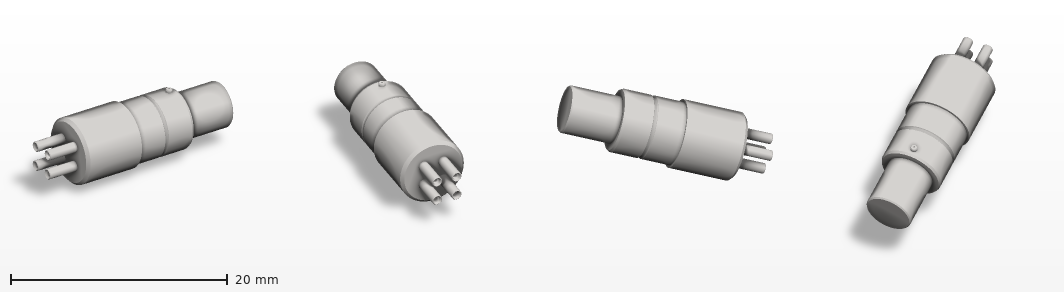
import cadquery as cq

total_length = 19.9

pin_length = 3.0
body_length = 6.0
body_diameter = 6.5
body_chamfer = 0.3

barrel_diameter = 6.0
collar_chamfer_length = 0.24
collar_chamfer_depth = 0.12
groove_to_body = 2.97
groove_width = 0.4
groove_depth = 0.12

nose_length = 4.9
nose_diameter = 4.5
nose_chamfer_length = 0.14
nose_chamfer_depth = 0.1

pin_diameter = 1.0
pin_pitch = 1.99
pin_bore_diameter = 0.65
pin_bore_depth = 1.99
pin_tip_chamfer = 0.05

stud_diameter = 0.65
stud_chamfer_height = 0.12
stud_chamfer_width = 0.05
stud_top_height = 3.3
stud_to_nose_end = 5.71
stud_hole_diameter = 0.2
stud_hole_depth = 0.1

body_front = pin_length
body_back = body_front + body_length
groove_middle = body_back + groove_to_body
collar_back = total_length - nose_length

body_radius = body_diameter / 2
barrel_radius = barrel_diameter / 2
nose_radius = nose_diameter / 2


def make_housing():
    """Body, barrel and nose as one half profile turned about Y."""
    half_profile = (
        cq.Workplane("XY")
        .moveTo(0, body_front)
        .lineTo(body_radius - body_chamfer, body_front)
        .lineTo(body_radius, body_front + body_chamfer)
        .lineTo(body_radius, body_back)
        .lineTo(barrel_radius, body_back)
        .lineTo(barrel_radius, groove_middle - groove_width / 2)
        .threePointArc(
            (barrel_radius - groove_depth, groove_middle),
            (barrel_radius, groove_middle + groove_width / 2),
        )
        .lineTo(barrel_radius, collar_back - collar_chamfer_length)
        .lineTo(barrel_radius - collar_chamfer_depth, collar_back)
        .lineTo(nose_radius, collar_back)
        .lineTo(nose_radius, total_length - nose_chamfer_length)
        .lineTo(nose_radius - nose_chamfer_depth, total_length)
        .lineTo(0, total_length)
        .close()
    )
    return half_profile.revolve(360, (0, 0), (0, 1))


def make_pin():
    """One solder pin on the Y axis, with a blind, countersunk bore in its free end."""
    pin_radius = pin_diameter / 2
    bore_radius = pin_bore_diameter / 2
    lip_radius = pin_radius - pin_tip_chamfer
    half_profile = [
        (0, pin_bore_depth),
        (bore_radius, pin_bore_depth),
        (bore_radius, lip_radius - bore_radius),
        (lip_radius, 0),
        (pin_radius, pin_tip_chamfer),
        (pin_radius, body_front),
        (0, body_front),
    ]
    return cq.Workplane("XY").polyline(half_profile).close().revolve(360, (0, 0), (0, 1))


def make_stud():
    """Stud standing on the collar, with a chamfered rim and a small centre hole."""
    stud_radius = stud_diameter / 2
    hole_radius = stud_hole_diameter / 2
    hole_floor = stud_top_height - stud_hole_depth
    stud_foot = nose_radius
    half_profile = [
        (0, stud_foot),
        (stud_radius, stud_foot),
        (stud_radius, stud_top_height - stud_chamfer_height),
        (stud_radius - stud_chamfer_width, stud_top_height),
        (hole_radius, stud_top_height),
        (hole_radius, hole_floor),
        (0, hole_floor),
    ]
    stud = cq.Workplane("XZ").polyline(half_profile).close().revolve(360, (0, 0), (0, 1))
    return stud.translate((0, total_length - stud_to_nose_end, 0))


result = make_housing().union(make_stud())
for x_side in (-1, 1):
    for z_side in (-1, 1):
        pin_position = (x_side * pin_pitch / 2, 0, z_side * pin_pitch / 2)
        result = result.union(make_pin().translate(pin_position))